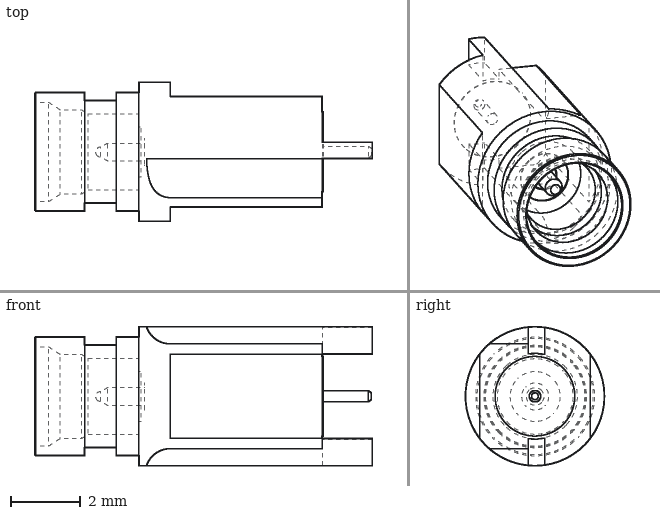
import cadquery as cq

total_length = 9.7
rim_end = 1.44
groove_end = 2.34
flange_start = 3.0
flat_start = 3.9
body_end = 8.25
rear_boss_end = 8.28

body_radius = 2.0
nose_radius = 1.71
groove_radius = 1.47
nose_chamfer = 0.04
rear_boss_radius = 1.14

flat_distance = 1.59
recess_floor = 1.5
recess_runout_radius = 0.73

leg_front_y = -0.19
leg_back_y = 0.28
leg_inner_radius = 1.23

mouth_radius = 1.455
seat_radius = 1.43
throat_radius = 1.21
socket_radius = 1.09
mouth_chamfer = mouth_radius - seat_radius
seat_depth = 0.4
throat_start = 0.73
throat_end = 1.34
taper_end = 1.53
socket_depth = 3.0

contact_radius = 0.25
contact_start = 1.75
contact_taper_length = 0.19
contact_tip_radius = 0.15
insulator_radius = 0.72
insulator_recess = 0.05
contact_hole_radius = 0.39
contact_hole_depth = 0.1
tail_radius = 0.165
tail_end = 9.67
tail_chamfer_length = 0.09
tail_chamfer_depth = 0.07


def revolve_about_x(points):
    """Turn a closed (x, radius) outline into a solid about the X axis."""
    return cq.Workplane("XY").polyline(points).close().revolve(360, (0, 0, 0), (1, 0, 0))


def box_between(x0, x1, y0, y1, z0, z1):
    return cq.Workplane("XY").box(x1 - x0, y1 - y0, z1 - z0, centered=False).translate((x0, y0, z0))


def make_disc(radius, x0, x1):
    return cq.Workplane("YZ", origin=(x0, 0, 0)).circle(radius).extrude(x1 - x0)


def make_body():
    return revolve_about_x([
        (0, 0),
        (0, nose_radius - nose_chamfer),
        (nose_chamfer, nose_radius),
        (rim_end, nose_radius),
        (rim_end, groove_radius),
        (groove_end, groove_radius),
        (groove_end, nose_radius),
        (flange_start, nose_radius),
        (flange_start, body_radius),
        (total_length, body_radius),
        (total_length, 0),
    ])


def make_rear_clearance(side):
    """Space behind the body on one side of the legs."""
    if side < 0:
        y0, y1 = -body_radius, leg_front_y
    else:
        y0, y1 = leg_back_y, body_radius
    return box_between(body_end, total_length, y0, y1, -body_radius, body_radius)


def make_flat_cutter(side):
    """Everything outside the flat on one side of the body."""
    y0, y1 = sorted((side * flat_distance, side * body_radius))
    return box_between(flat_start, total_length, y0, y1, -body_radius, body_radius)


def make_recess():
    """Upper recess in front of the leg, with a rounded run-out at its closed end."""
    arc_centre_z = recess_floor + recess_runout_radius
    arc_start_x = flat_start - recess_runout_radius
    arc_middle = recess_runout_radius * 0.5 ** 0.5
    return (
        cq.Workplane("XZ", origin=(0, leg_front_y, 0))
        .moveTo(total_length, recess_floor)
        .lineTo(flat_start, recess_floor)
        .threePointArc(
            (flat_start - arc_middle, arc_centre_z - arc_middle),
            (arc_start_x, arc_centre_z),
        )
        .lineTo(total_length, arc_centre_z)
        .close()
        .extrude(body_radius)
    )


def make_socket():
    insulator_face = socket_depth + insulator_recess
    hole_bottom = insulator_face + contact_hole_depth
    return revolve_about_x([
        (0, 0),
        (0, mouth_radius),
        (mouth_chamfer, seat_radius),
        (seat_depth, seat_radius),
        (throat_start, throat_radius),
        (throat_end, throat_radius),
        (taper_end, socket_radius),
        (socket_depth, socket_radius),
        (socket_depth, insulator_radius),
        (insulator_face, insulator_radius),
        (insulator_face, contact_hole_radius),
        (hole_bottom, contact_hole_radius),
        (hole_bottom, 0),
    ])


def make_contact():
    """Round contact with a hemispherical tip, a tapered point and a thinner tail."""
    taper_start = contact_start + contact_tip_radius
    arc_middle = contact_tip_radius * 0.5 ** 0.5
    return (
        cq.Workplane("XY")
        .moveTo(contact_start, 0)
        .threePointArc((taper_start - arc_middle, arc_middle), (taper_start, contact_tip_radius))
        .lineTo(taper_start + contact_taper_length, contact_radius)
        .lineTo(body_end, contact_radius)
        .lineTo(body_end, tail_radius)
        .lineTo(tail_end - tail_chamfer_length, tail_radius)
        .lineTo(tail_end, tail_radius - tail_chamfer_depth)
        .lineTo(tail_end, 0)
        .close()
        .revolve(360, (0, 0, 0), (1, 0, 0))
    )


body = make_body()
for side in (-1, 1):
    body = body.cut(make_flat_cutter(side))
    body = body.cut(make_rear_clearance(side))
recess = make_recess()
body = body.cut(recess).cut(recess.mirror("XY"))
body = body.cut(make_disc(leg_inner_radius, body_end, total_length))
rear_boss = make_disc(rear_boss_radius, body_end, rear_boss_end)

result = body.cut(make_socket()).union(rear_boss).union(make_contact())